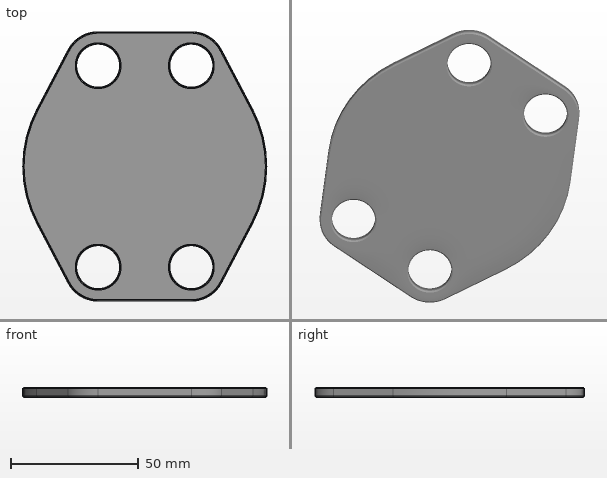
import cadquery as cq
import math

length = 106.0
width = 96.0
thickness = 4.0
hole_diameter = 17.0
hole_x = 18.3
hole_y = 39.6
edge_chamfer = 0.5

side_radius = width / 2
corner_radius = length / 2 - hole_y

centre_distance = math.hypot(hole_x, hole_y)
flank_angle = math.atan2(hole_y, hole_x) - math.acos((side_radius - corner_radius) / centre_distance)


def corner_point(angle):
    """Point on the +X +Y corner arc at the given angle from +X."""
    return (hole_x + corner_radius * math.cos(angle), hole_y + corner_radius * math.sin(angle))


def make_plate():
    """Plate with rounded corners and bowed sides."""
    side_x = side_radius * math.cos(flank_angle)
    side_y = side_radius * math.sin(flank_angle)
    corner_x, corner_y = corner_point(flank_angle)
    middle_x, middle_y = corner_point((flank_angle + math.pi / 2) / 2)
    end_y = length / 2
    outline = (
        cq.Workplane("XY")
        .moveTo(side_x, -side_y)
        .threePointArc((side_radius, 0), (side_x, side_y))
        .lineTo(corner_x, corner_y)
        .threePointArc((middle_x, middle_y), (hole_x, end_y))
        .lineTo(-hole_x, end_y)
        .threePointArc((-middle_x, middle_y), (-corner_x, corner_y))
        .lineTo(-side_x, side_y)
        .threePointArc((-side_radius, 0), (-side_x, -side_y))
        .lineTo(-corner_x, -corner_y)
        .threePointArc((-middle_x, -middle_y), (-hole_x, -end_y))
        .lineTo(hole_x, -end_y)
        .threePointArc((middle_x, -middle_y), (corner_x, -corner_y))
        .close()
    )
    return outline.extrude(thickness)


def cut_holes(plate):
    """Four through holes, one at each corner."""
    return (
        plate.faces(">Z")
        .workplane(origin=(0, 0, thickness))
        .rect(2 * hole_x, 2 * hole_y, forConstruction=True)
        .vertices()
        .hole(hole_diameter)
    )


result = cut_holes(make_plate()).faces("|Z").edges().chamfer(edge_chamfer)